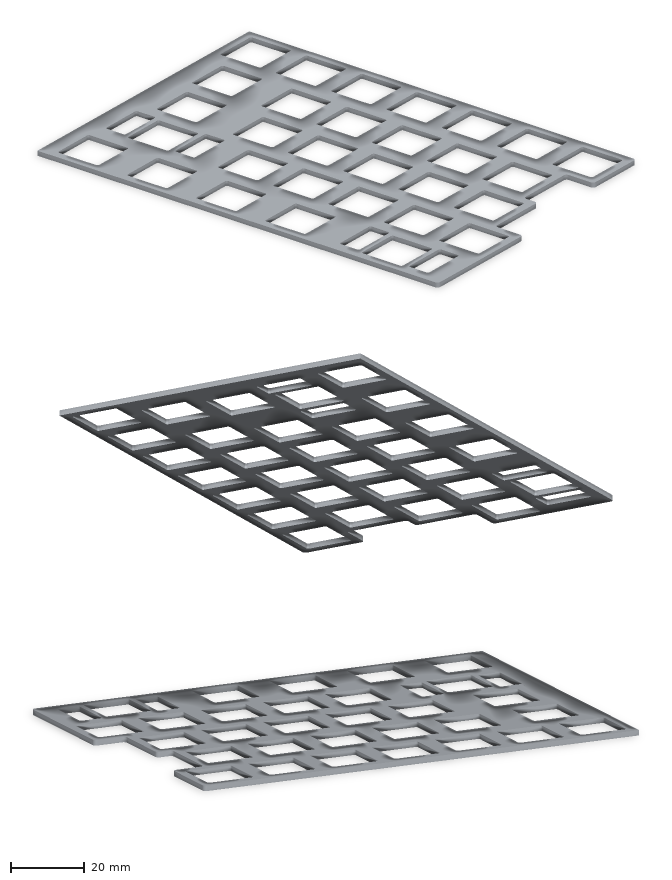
import cadquery as cq

plate_width = 138.0
plate_width_in_keys = 7.25
key_pitch = plate_width / plate_width_in_keys
thickness = 1.5
edge_radius = 1.0

switch_size = 14.0
cutout_radius = 0.5
stabilizer_width = 6.8
stabilizer_spacing = 23.9
stabilizer_rise = 1.0

wide_key = 2.25
rows = [
    [1] * 7,
    [1.5] + [1] * 5,
    [1.75] + [1] * 5,
    [wide_key] + [1] * 5,
    [1.25] * 4 + [wide_key],
]
plate_height = len(rows) * key_pitch


def plate_blank():
    """Plate with a square left side and a stepped, rounded right side."""
    outline = [(0, 0), (0, plate_height)]
    previous_right = None
    for row, keys in enumerate(rows):
        right = sum(keys) * key_pitch
        if right != previous_right:
            y_step = plate_height - row * key_pitch
            if previous_right is not None:
                outline.append((previous_right, y_step))
            outline.append((right, y_step))
        previous_right = right
    outline.append((previous_right, 0))

    blank = cq.Workplane("XY").polyline(outline).close().extrude(thickness)
    return blank.edges("|Z").edges("not(<X)").fillet(edge_radius)


def cutouts(centers, width):
    """Rounded through cutters of switch height at the given centres."""
    return (
        cq.Workplane("XY")
        .pushPoints(centers)
        .rect(width, switch_size)
        .extrude(thickness)
        .edges("|Z")
        .fillet(cutout_radius)
    )


switch_centers = []
stabilizer_centers = []
for row, keys in enumerate(rows):
    y = plate_height - (row + 0.5) * key_pitch
    key_left = 0
    for key_width in keys:
        x = (key_left + key_width / 2) * key_pitch
        switch_centers.append((x, y))
        if key_width == wide_key:
            for side in (-1, 1):
                slot_x = x + side * stabilizer_spacing / 2
                stabilizer_centers.append((slot_x, y + stabilizer_rise))
        key_left += key_width

result = (
    plate_blank()
    .cut(cutouts(switch_centers, switch_size))
    .cut(cutouts(stabilizer_centers, stabilizer_width))
)